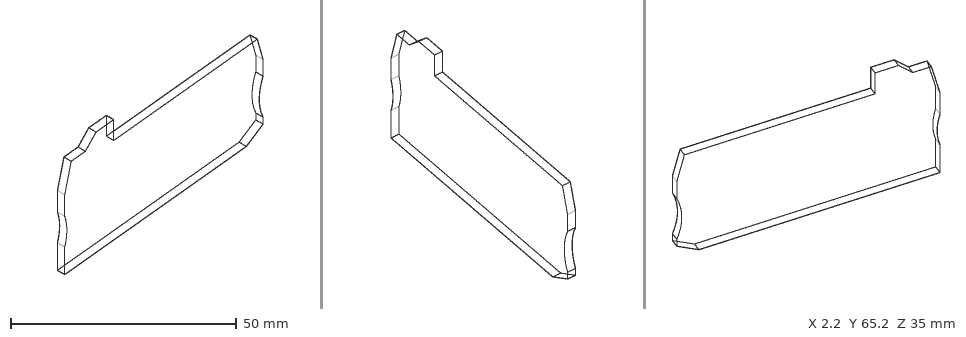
import cadquery as cq

thickness = 2.2
length = 65.25
height = 35.05

shoulder_height = 31.65
long_edge_height = 29.0
shoulder_start = 2.15
tab_ramp_start = 6.8
tab_top_start = 10.3
tab_end = 16.1
long_edge_end = 63.35

near_slope_bottom = 23.2
near_grip_bottom = 8.0
near_grip_top = 16.95
near_grip_depth = 0.7

far_slope_bottom = 21.85
far_grip_bottom = 5.1
far_grip_top = 16.95
far_grip_depth = 1.25
chamfer_length = 5.5
chamfer_height = 3.05

near_grip_middle = (near_grip_bottom + near_grip_top) / 2
far_grip_middle = (far_grip_bottom + far_grip_top) / 2

result = (
    cq.Workplane("YZ")
    .moveTo(0, 0)
    .lineTo(0, near_grip_bottom)
    .threePointArc((near_grip_depth, near_grip_middle), (0, near_grip_top))
    .lineTo(0, near_slope_bottom)
    .lineTo(shoulder_start, shoulder_height)
    .lineTo(tab_ramp_start, shoulder_height)
    .lineTo(tab_top_start, height)
    .lineTo(tab_end, height)
    .lineTo(tab_end, long_edge_height)
    .lineTo(long_edge_end, long_edge_height)
    .lineTo(length, far_slope_bottom)
    .lineTo(length, far_grip_top)
    .threePointArc((length - far_grip_depth, far_grip_middle), (length, far_grip_bottom))
    .lineTo(length, chamfer_height)
    .lineTo(length - chamfer_length, 0)
    .close()
    .extrude(thickness)
)